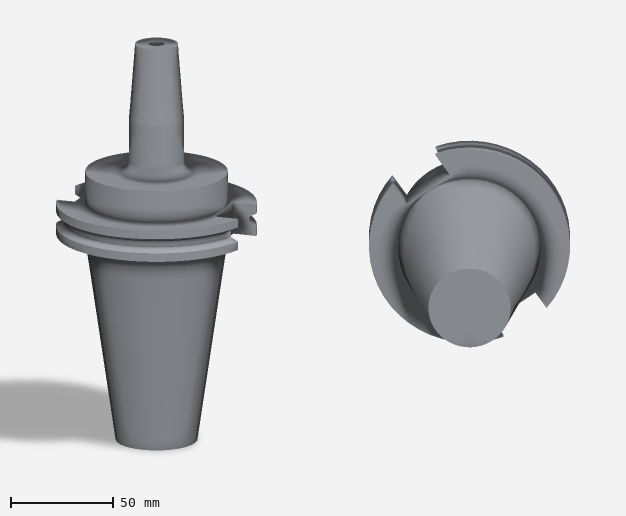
import cadquery as cq
import math


gauge_diameter = 69.85
taper_length = 101.6
taper_ratio = 7 / 24
small_end_diameter = gauge_diameter - taper_ratio * taper_length

flange_diameter = 98.4
flange_bottom_z = 3.175
flange_thickness = 15.875
flange_top_z = flange_bottom_z + flange_thickness
flange_middle_z = flange_bottom_z + flange_thickness / 2

groove_floor_diameter = 91.25
groove_floor_width = 3.1
groove_flank_angle = 30.0
groove_depth = (flange_diameter - groove_floor_diameter) / 2
groove_mouth_width = groove_floor_width + 2 * groove_depth * math.tan(math.radians(groove_flank_angle))

slot_width = 25.82
slot_floor_left = 37.8
slot_floor_right = 35.3

pocket_diameter = 9.5
pocket_depth = 5.0

collar_diameter = gauge_diameter
collar_top_z = 35.0
nose_top_z = 100.0
nose_base_diameter = 27.0
nose_tip_diameter = 21.0
nose_taper_angle = 4.5
nose_taper_length = (nose_base_diameter - nose_tip_diameter) / 2 / math.tan(math.radians(nose_taper_angle))
nose_fillet_radius = 5.0

bore_diameter = 8.0
bore_depth = 36.0


def make_shank():
    """Tapered shank with the short cylinder that joins it to the flange."""
    cone = (
        cq.Workplane("XY")
        .workplane(offset=-taper_length)
        .circle(small_end_diameter / 2)
        .workplane(offset=taper_length)
        .circle(gauge_diameter / 2)
        .loft(ruled=True)
    )
    neck = cq.Workplane("XY").circle(gauge_diameter / 2).extrude(flange_bottom_z)
    return cone.union(neck)


def make_flange():
    """Flange disc with its V-groove, turned from a half profile in the XZ plane."""
    outer = flange_diameter / 2
    floor = groove_floor_diameter / 2
    half_mouth = groove_mouth_width / 2
    half_floor = groove_floor_width / 2
    return (
        cq.Workplane("XZ")
        .moveTo(0, flange_bottom_z)
        .lineTo(outer, flange_bottom_z)
        .lineTo(outer, flange_middle_z - half_mouth)
        .lineTo(floor, flange_middle_z - half_floor)
        .lineTo(floor, flange_middle_z + half_floor)
        .lineTo(outer, flange_middle_z + half_mouth)
        .lineTo(outer, flange_top_z)
        .lineTo(0, flange_top_z)
        .close()
        .revolve(360, (0, 0, 0), (0, 1, 0))
    )


def make_slot(side, floor_distance):
    """Cutter for one drive slot; side is -1 for -X and +1 for +X."""
    reach = flange_diameter / 2
    return (
        cq.Workplane("XY")
        .workplane(offset=flange_bottom_z)
        .center(side * (floor_distance + reach / 2), 0)
        .rect(reach, slot_width)
        .extrude(flange_thickness)
    )


def make_pocket():
    """Cutter for the round pocket in the left slot floor."""
    return (
        cq.Workplane("YZ")
        .workplane(offset=-slot_floor_left)
        .center(0, flange_middle_z)
        .circle(pocket_diameter / 2)
        .extrude(pocket_depth)
    )


def make_collar_and_nose():
    """Collar and tapered nose, joined by a concave fillet."""
    collar_radius = collar_diameter / 2
    base_radius = nose_base_diameter / 2
    return (
        cq.Workplane("XZ")
        .moveTo(0, flange_top_z)
        .lineTo(collar_radius, flange_top_z)
        .lineTo(collar_radius, collar_top_z)
        .lineTo(base_radius + nose_fillet_radius, collar_top_z)
        .radiusArc((base_radius, collar_top_z + nose_fillet_radius), nose_fillet_radius)
        .lineTo(base_radius, nose_top_z - nose_taper_length)
        .lineTo(nose_tip_diameter / 2, nose_top_z)
        .lineTo(0, nose_top_z)
        .close()
        .revolve(360, (0, 0, 0), (0, 1, 0))
    )


def make_bore():
    """Cutter for the blind tool bore in the nose."""
    return cq.Workplane("XY").workplane(offset=nose_top_z).circle(bore_diameter / 2).extrude(-bore_depth)


flange = make_flange()
flange = flange.cut(make_slot(-1, slot_floor_left))
flange = flange.cut(make_slot(1, slot_floor_right))

result = make_shank().union(flange).union(make_collar_and_nose())
result = result.cut(make_pocket()).cut(make_bore())